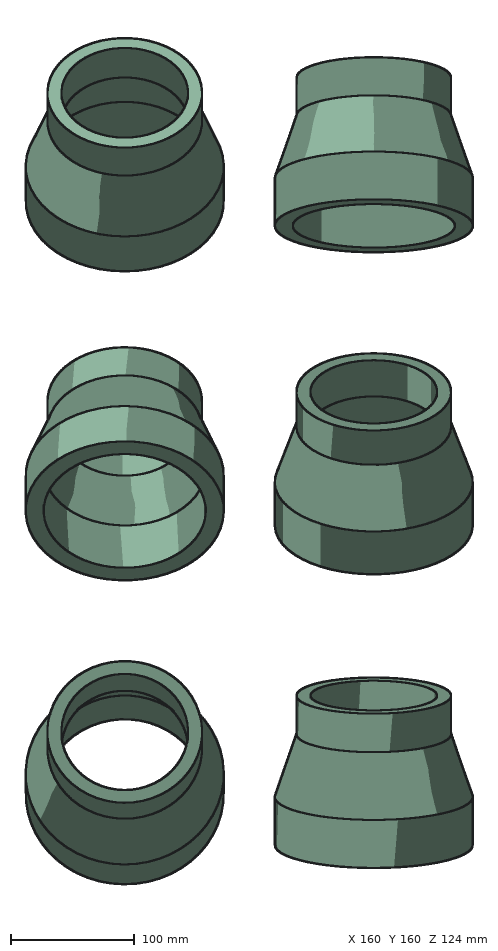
import cadquery as cq

total_height = 124.0
large_diameter = 160.0
small_diameter = 125.0
large_wall = 14.5
small_wall = 11.4

large_outer_length = 40.0
small_outer_length = 32.0
large_bore_length = 48.0
small_bore_length = 33.8


def stepped_cone(bottom_radius, top_radius, bottom_length, top_length):
    """Solid of revolution about Z: cylinder, cone, then smaller cylinder."""
    return (
        cq.Workplane("XZ")
        .lineTo(bottom_radius, 0)
        .lineTo(bottom_radius, bottom_length)
        .lineTo(top_radius, total_height - top_length)
        .lineTo(top_radius, total_height)
        .lineTo(0, total_height)
        .close()
        .revolve(360, (0, 0, 0), (0, 1, 0))
    )


large_radius = large_diameter / 2
small_radius = small_diameter / 2

outer = stepped_cone(large_radius, small_radius, large_outer_length, small_outer_length)
bore = stepped_cone(
    large_radius - large_wall,
    small_radius - small_wall,
    large_bore_length,
    small_bore_length,
)

result = outer.cut(bore)